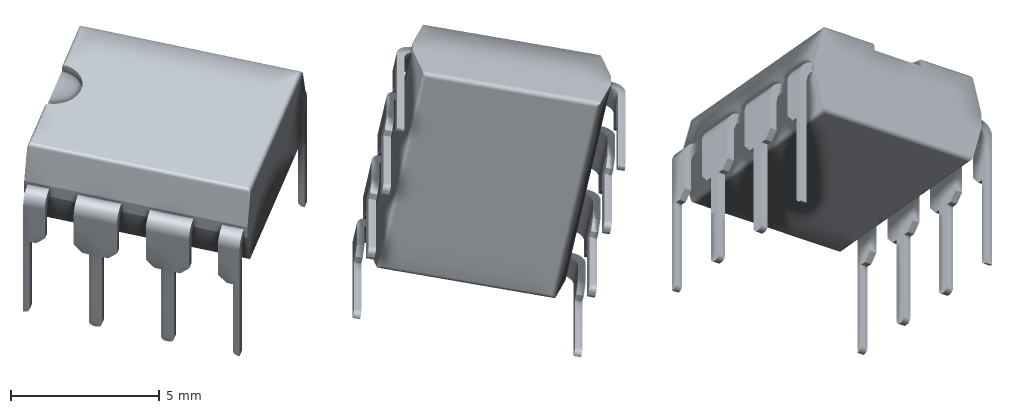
import cadquery as cq


overall_height = 6.99

housing_length = 7.87
housing_width = 6.84
housing_height = 3.305
band_height = 0.495
draft_inset = 0.385
edge_radius = 0.16
notch_radius = 0.98
notch_depth = 0.315

lead_pitch = 2.54
leads_per_side = 4
lead_span = 7.87
lead_thickness = 0.26
lead_top = 0.125
lead_tip = housing_height / 2 - overall_height
bend_radius = 0.5
shoulder_width = 1.53
shoulder_drop = 2.165
shoulder_chamfer = 0.31
leg_width = 0.46
tip_radius = 0.19


def make_housing_block():
    """Six-sided prism along X with rounded top and bottom edges and the pin-one notch."""
    half_width = housing_width / 2
    half_height = housing_height / 2
    half_band = band_height / 2
    face_half_width = half_width - draft_inset

    block = (
        cq.Workplane("YZ")
        .polyline([
            (-half_width, -half_band),
            (-face_half_width, -half_height),
            (face_half_width, -half_height),
            (half_width, -half_band),
            (half_width, half_band),
            (face_half_width, half_height),
            (-face_half_width, half_height),
            (-half_width, half_band),
        ])
        .close()
        .extrude(housing_length / 2, both=True)
        .faces("<Z or >Z")
        .edges()
        .fillet(edge_radius)
    )
    notch = (
        cq.Workplane("XY", origin=(-housing_length / 2, 0, half_height - notch_depth))
        .circle(notch_radius)
        .extrude(notch_depth)
    )
    return block.cut(notch)


def make_bent_strip():
    """Lead strip at full shoulder width, bent down at both ends, centred on X = 0."""
    outer_y = lead_span / 2
    inner_y = outer_y - lead_thickness
    lead_bottom = lead_top - lead_thickness

    def arch(half_span, top):
        """Upside-down U with rounded upper corners, reaching down to the lead tips."""
        return (
            cq.Workplane("XY", origin=(0, 0, lead_tip))
            .box(shoulder_width, 2 * half_span, top - lead_tip, centered=(True, True, False))
            .edges("|X and >Z")
            .fillet(bend_radius)
        )

    return arch(outer_y, lead_top).cut(arch(inner_y, lead_bottom))


def make_lead_outline():
    """Front outline of a lead, extruded along Y: wide shoulder above a narrow rounded leg."""
    shoulder_bottom = lead_top - shoulder_drop
    upright = (True, True, False)

    shoulder = (
        cq.Workplane("XY", origin=(0, 0, shoulder_bottom))
        .box(shoulder_width, lead_span, shoulder_drop, centered=upright)
        .edges("|Y and <Z")
        .chamfer(shoulder_chamfer)
    )
    leg = (
        cq.Workplane("XY", origin=(0, 0, lead_tip))
        .box(leg_width, lead_span, shoulder_bottom - lead_tip, centered=upright)
        .edges("|Y and <Z")
        .fillet(tip_radius)
    )
    return shoulder.union(leg)


def make_lead(centre_x, kept_side=None):
    """One lead at centre_x; a kept_side of +1 or -1 keeps only its half towards +X or -X."""
    lead = make_bent_strip().intersect(make_lead_outline())
    if kept_side is not None:
        half_space = (
            cq.Workplane("XY", origin=(kept_side * shoulder_width / 2, 0, lead_tip))
            .box(shoulder_width, lead_span, lead_top - lead_tip, centered=(True, True, False))
        )
        lead = lead.intersect(half_space)
    return lead.translate((centre_x, 0, 0))


last_index = leads_per_side - 1
kept_sides = {0: 1, last_index: -1}
leads = [
    make_lead((index - last_index / 2) * lead_pitch, kept_sides.get(index))
    for index in range(leads_per_side)
]

housing = make_housing_block()
for lead in leads:
    housing = housing.cut(lead)

result = cq.Compound.makeCompound([housing.val(), *[lead.val() for lead in leads]])